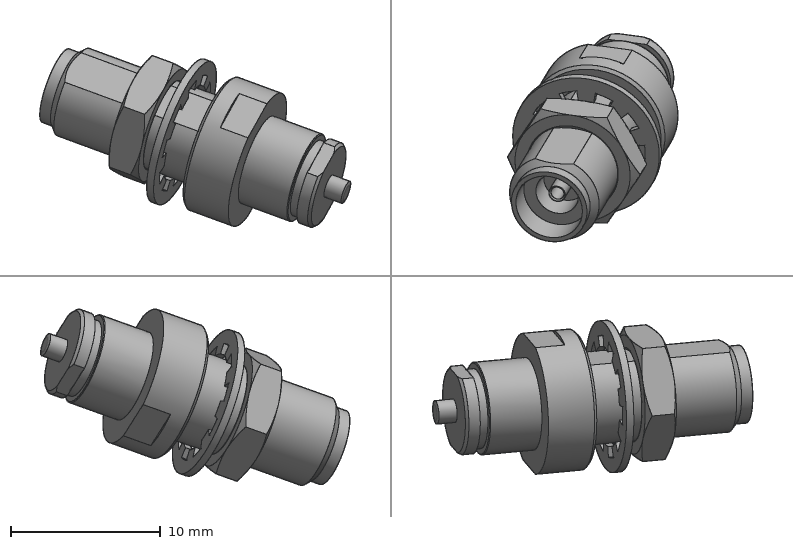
import cadquery as cq
import math

length = 21.35
front_x = -length / 2

nose_radius = 2.63
nose_length = 0.8
barrel_radius = 3.12
taper_length = 0.47
barrel_flat_height = 2.82

flange_start = 11.38
flange_end = 14.8
flange_radius = 4.75
flange_chamfer = 0.21
flange_flat_height = 4.48
flange_flat_length = 2.03

rear_end = 18.43
rear_chamfer = 0.06
groove_radius = 2.7
collar_start = 19.05
collar_end = 20.03
collar_radius = 3.0
collar_chamfer = 0.2
terminal_radius = 0.8
terminal_tip_radius = 0.53
terminal_tip_length = 0.06

socket_radius = 2.3
socket_depth = 1.92
recess_radius = 1.47
recess_depth = 1.92
contact_radius = 0.58
contact_bore_radius = 0.45
contact_bore_depth = recess_depth
contact_chamfer = 0.1

nut_start = 5.7
nut_thickness = 2.18
nut_across_flats = 8.0
nut_corner_chamfer = 0.32
nut_mouth_radius = 3.18
nut_mouth_depth = nut_mouth_radius - barrel_flat_height

washer_start = 8.97
washer_thickness = 0.51
washer_radius = 5.1
tooth_tip_radius = 3.4
tooth_root_radius = 4.12
tooth_count = 10


def cylinder(start, height, radius):
    """Cylinder along X that begins `start` behind the front end."""
    return cq.Workplane("YZ", origin=(front_x + start, 0, 0)).circle(radius).extrude(height)


def revolve_profile(points):
    """Solid of revolution about X from (station, radius) points."""
    placed = [(front_x + station, radius) for station, radius in points]
    return cq.Workplane("XY").polyline(placed).close().revolve(360, (0, 0, 0), (1, 0, 0))


def block_above(start, end, height):
    """Block that removes everything higher than `height` between two stations."""
    span = 2 * washer_radius
    return cq.Workplane("XY", origin=(front_x + (start + end) / 2, 0, height)).box(
        end - start, span, span, centered=(True, True, False)
    )


def cut_flats(body, start, end, height):
    """Cut a matching pair of flats on the top and the bottom."""
    upper = block_above(start, end, height)
    return body.cut(upper).cut(upper.mirror("XY"))


def make_housing():
    taper_end = nose_length + taper_length
    housing = revolve_profile([
        (0, 0),
        (0, nose_radius),
        (nose_length, nose_radius),
        (taper_end, barrel_radius),
        (flange_start, barrel_radius),
        (flange_start, flange_radius - flange_chamfer),
        (flange_start + flange_chamfer, flange_radius),
        (flange_end, flange_radius),
        (flange_end, barrel_radius),
        (rear_end - rear_chamfer, barrel_radius),
        (rear_end, barrel_radius - rear_chamfer),
        (rear_end, groove_radius),
        (collar_start, groove_radius),
        (collar_start, collar_radius),
        (collar_end - collar_chamfer, collar_radius),
        (collar_end, collar_radius - collar_chamfer),
        (collar_end, terminal_radius),
        (length - terminal_tip_length, terminal_radius),
        (length, terminal_tip_radius),
        (length, 0),
    ])

    housing = housing.cut(block_above(nose_length, flange_start, barrel_flat_height))
    housing = cut_flats(housing, flange_end - flange_flat_length, flange_end, flange_flat_height)
    housing = cut_flats(housing, collar_start, collar_end, groove_radius)

    housing = housing.cut(cylinder(0, socket_depth, socket_radius))
    recess = cylinder(socket_depth, recess_depth, recess_radius)
    housing = housing.cut(recess.cut(cylinder(socket_depth, recess_depth, contact_radius)))

    contact_bore = revolve_profile([
        (socket_depth, 0),
        (socket_depth, contact_bore_radius + contact_chamfer),
        (socket_depth + contact_chamfer, contact_bore_radius),
        (socket_depth + contact_bore_depth, contact_bore_radius),
        (socket_depth + contact_bore_depth, 0),
    ])
    return housing.cut(contact_bore)


def make_nut():
    nut_end = nut_start + nut_thickness
    face_radius = nut_across_flats / 2
    corner_radius = face_radius / math.cos(math.radians(30))

    nut = (
        cq.Workplane("YZ", origin=(front_x + nut_start, 0, 0))
        .polygon(6, 2 * corner_radius)
        .extrude(nut_thickness)
    )
    corner_envelope = revolve_profile([
        (nut_start, 0),
        (nut_start, face_radius),
        (nut_start + nut_corner_chamfer, corner_radius),
        (nut_end - nut_corner_chamfer, corner_radius),
        (nut_end, face_radius),
        (nut_end, 0),
    ])
    nut = nut.intersect(corner_envelope)

    bore = cylinder(nut_start, nut_thickness, barrel_radius)
    nut = nut.cut(bore.cut(block_above(nut_start, nut_end, barrel_flat_height)))

    mouths = revolve_profile([
        (nut_start, 0),
        (nut_start, nut_mouth_radius),
        (nut_start + nut_mouth_depth, barrel_flat_height),
        (nut_end - nut_mouth_depth, barrel_flat_height),
        (nut_end, nut_mouth_radius),
        (nut_end, 0),
    ])
    return nut.cut(mouths)


def make_washer():
    washer = cylinder(washer_start, washer_thickness, washer_radius)
    washer = washer.cut(cylinder(washer_start, washer_thickness, tooth_tip_radius))

    pitch = 360 / tooth_count
    half_gap = math.radians(pitch / 4)
    gap_reach = tooth_root_radius * math.cos(half_gap)
    gap_half_width = tooth_root_radius * math.sin(half_gap)
    gap = (
        cq.Workplane("YZ", origin=(front_x + washer_start, 0, 0))
        .lineTo(-gap_reach, gap_half_width)
        .threePointArc((-tooth_root_radius, 0), (-gap_reach, -gap_half_width))
        .close()
        .extrude(washer_thickness)
    )
    for index in range(tooth_count):
        washer = washer.cut(gap.rotate((0, 0, 0), (1, 0, 0), index * pitch))
    return washer


housing = make_housing()
nut = make_nut()
washer = make_washer()

result = cq.Compound.makeCompound([housing.solids().val(), nut.solids().val(), washer.solids().val()])